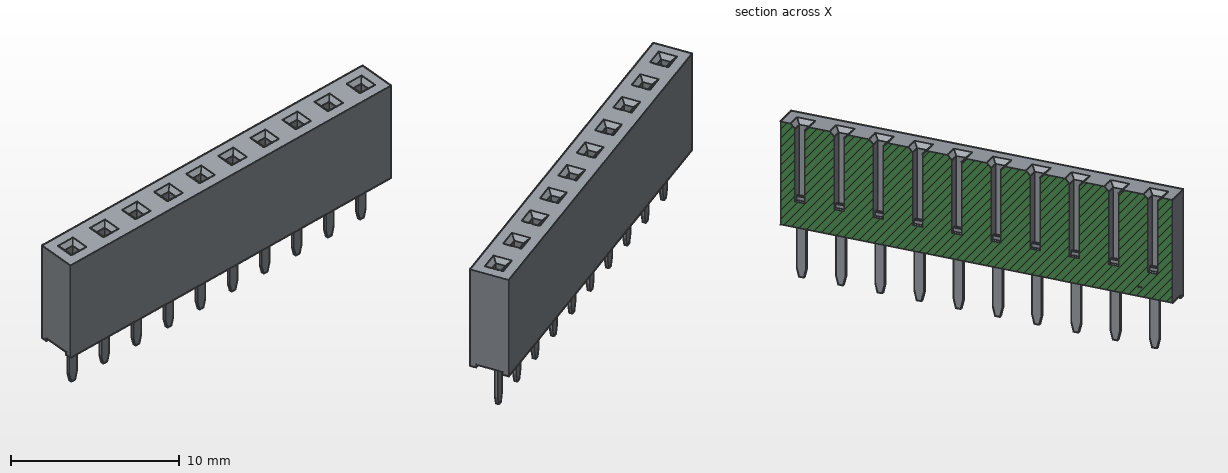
import cadquery as cq

contact_count = 10
pitch = 2.55
housing_width = pitch
housing_length = contact_count * pitch
total_height = 10.1
housing_height = 7.0

foot_width = 0.4
channel_depth = 0.2

funnel_width = 1.2
hole_width = 0.6
funnel_depth = (funnel_width - hole_width) / 2
hole_depth = 5.08

blade_thickness = 0.2
blade_width = hole_width
blade_rise = 0.25
tip_width = 0.3
tip_length = 0.6

blade_top = housing_height - hole_depth + blade_rise
blade_bottom = housing_height - total_height

contact_places = [
    (0, (index - (contact_count - 1) / 2) * pitch) for index in range(contact_count)
]


def make_housing():
    """Bar standing on z = 0, with the relief channel cut along its full length."""
    bar = cq.Workplane("XY").box(
        housing_width, housing_length, housing_height, centered=(True, True, False)
    )
    channel = cq.Workplane("XY").box(
        housing_width - 2 * foot_width, housing_length, channel_depth, centered=(True, True, False)
    )
    return bar.cut(channel)


def make_socket():
    """Cutter for one socket, hanging down from the top face at x = y = 0."""
    top_plane = cq.Workplane("XY", origin=(0, 0, housing_height))
    funnel = (
        top_plane.rect(funnel_width, funnel_width)
        .workplane(offset=-funnel_depth)
        .rect(hole_width, hole_width)
        .loft(ruled=True)
    )
    hole = top_plane.rect(hole_width, hole_width).extrude(-hole_depth)
    return funnel.union(hole)


def make_blade():
    """One contact blade at x = y = 0, tapering in width to a blunt tip."""
    right_side = [
        (tip_width / 2, blade_bottom),
        (blade_width / 2, blade_bottom + tip_length),
        (blade_width / 2, blade_top),
    ]
    left_side = [(-y, z) for y, z in reversed(right_side)]
    return (
        cq.Workplane("YZ")
        .polyline(right_side + left_side)
        .close()
        .extrude(blade_thickness / 2, both=True)
    )


result = make_housing()
socket = make_socket()
blade = make_blade()
for x, y in contact_places:
    result = result.cut(socket.translate((x, y, 0)))
    result = result.union(blade.translate((x, y, 0)))